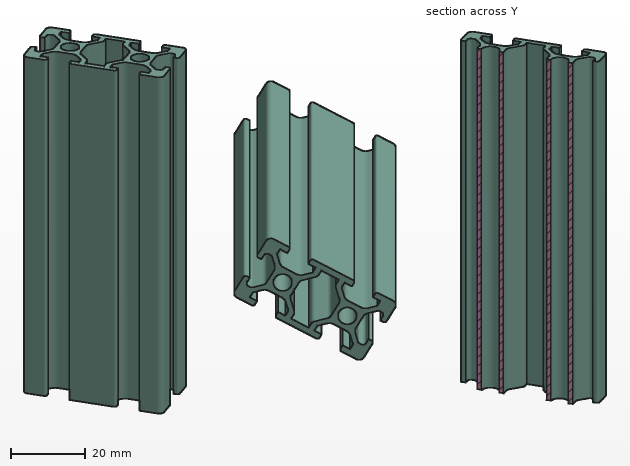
import cadquery as cq

length = 100.0
module = 20.0
modules = 2
width = modules * module
height = module

slot_opening = 6.5
end_slot_opening = 6.3
slot_width = 11.0
slot_depth = 6.0
end_slot_depth = 6.2
lip_thickness = 1.8
end_lip_thickness = 1.6
end_pocket_radius = 1.0

bore_diameter = 5.0
cavity_width = 5.4
web_offset = 1.05

corner_radius = 1.5
lip_radius = 0.6
end_lip_radius = 0.7
floor_radius = 2.5
end_floor_radius = 1.8
cavity_shoulder_radius = 1.5

core_half_width = module / 2 - end_slot_depth
core_centers = [(i + 0.5) * module - width / 2 for i in range(modules)]
tool_overshoot = 1.0


def vertical_edges_at(solid, points):
    """Select the lengthwise edges that pass through the given section points."""
    reach = 0.01
    selector = None
    for x, y in points:
        box = cq.selectors.BoxSelector((x - reach, y - reach, -reach), (x + reach, y + reach, length + reach))
        selector = box if selector is None else selector + box
    return solid.edges("|Z").edges(selector)


def mirrored(points):
    """Complete a half outline given on the +X side with its mirror image."""
    return points + [(-x, y) for x, y in reversed(points)]


def turned(solid, angle):
    """Turn a solid about the Z axis."""
    return solid.rotate((0, 0, 0), (0, 0, 1), angle)


def fillet_pair(solid, corner, radius):
    """Round a lengthwise edge and its mirror image across X = 0."""
    x, y = corner
    return vertical_edges_at(solid, [(x, y), (-x, y)]).fillet(radius)


def slot_cutter(opening, depth, lip, bottom_radius, pocket_radius=None):
    """Slot centred on X = 0, cut into a face lying at Y = height / 2."""
    face = height / 2
    floor = face - depth
    floor_half = floor - web_offset
    wall = slot_width / 2
    shoulder = wall + web_offset
    outline = mirrored([
        (opening / 2, face + tool_overshoot),
        (opening / 2, face - lip),
        (wall, face - lip),
        (wall, shoulder),
        (floor_half, floor),
    ])
    slot = cq.Workplane("XY").polyline(outline).close().extrude(length)
    slot = fillet_pair(slot, (floor_half, floor), bottom_radius)
    if pocket_radius:
        slot = fillet_pair(slot, (wall, face - lip), pocket_radius)
        slot = fillet_pair(slot, (wall, shoulder), pocket_radius)
    return slot


def cavity_cutter():
    """Closed chamber between the two cores."""
    top = height / 2 - lip_thickness
    wall = cavity_width / 2
    core_face = module / 2 - core_half_width
    core_corner = core_half_width - web_offset
    shoulder = module / 2 - wall - web_offset
    upper = [(core_face, core_corner), (wall, shoulder), (wall, top)]
    lower = [(x, -y) for x, y in reversed(upper)]
    outline = mirrored(lower + upper)
    cavity = cq.Workplane("XY").polyline(outline).close().extrude(length)
    for sign in (1, -1):
        cavity = fillet_pair(cavity, (core_face, sign * core_corner), end_floor_radius)
        cavity = fillet_pair(cavity, (wall, sign * shoulder), cavity_shoulder_radius)
    return cavity


def cut_slots(body):
    """Cut one slot per core into each long face and one slot into each narrow end."""
    long_face_slot = slot_cutter(slot_opening, slot_depth, lip_thickness, floor_radius)
    end_slot = slot_cutter(
        end_slot_opening, end_slot_depth, end_lip_thickness, end_floor_radius, end_pocket_radius
    )
    for center in core_centers:
        for turn in (0, 180):
            body = body.cut(turned(long_face_slot, turn).translate((center, 0, 0)))
    body = body.cut(turned(end_slot, 90).translate((core_centers[0], 0, 0)))
    return body.cut(turned(end_slot, -90).translate((core_centers[-1], 0, 0)))


def round_lips(body):
    """Round the outer edges of the slot lips."""
    long_face_points = []
    end_points = []
    for side in (1, -1):
        for edge in (1, -1):
            end_points.append((side * width / 2, edge * end_slot_opening / 2))
            for center in core_centers:
                long_face_points.append((center + edge * slot_opening / 2, side * height / 2))
    body = vertical_edges_at(body, long_face_points).fillet(lip_radius)
    return vertical_edges_at(body, end_points).fillet(end_lip_radius)


body = cq.Workplane("XY").rect(width, height).extrude(length)
body = body.edges("|Z").fillet(corner_radius)
body = cut_slots(body).cut(cavity_cutter())
body = round_lips(body)
bore_points = [(center, 0) for center in core_centers]
bores = cq.Workplane("XY").pushPoints(bore_points).circle(bore_diameter / 2).extrude(length)
result = body.cut(bores)